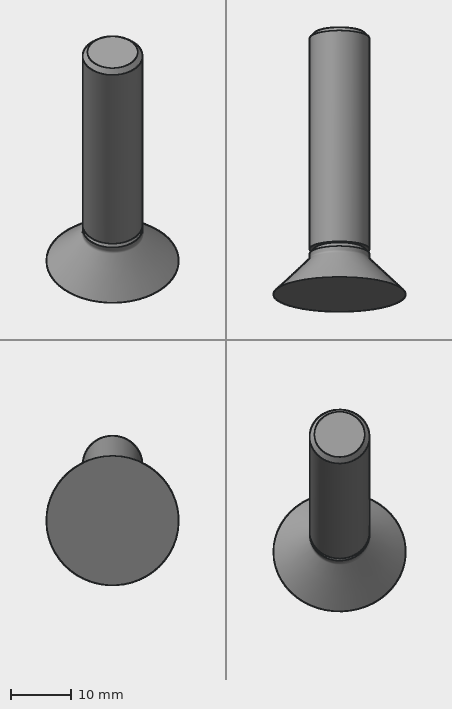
import cadquery as cq
import math

LENGTH = 45.0
HEAD_DIAMETER = 22.07
CONE_ANGLE = 90.0
SHANK_DIAMETER = 10.0
CORE_DIAMETER = 8.376
NECK_FILLET = 0.6
THREAD_START = 7.8

head_radius = HEAD_DIAMETER / 2
shank_radius = SHANK_DIAMETER / 2
core_radius = CORE_DIAMETER / 2
taper = shank_radius - core_radius

half_angle = math.radians(CONE_ANGLE / 2)
corner_height = (head_radius - shank_radius) / math.tan(half_angle)

tangent_length = NECK_FILLET * math.tan(half_angle / 2)
fillet_bottom = (
    shank_radius + tangent_length * math.sin(half_angle),
    corner_height - tangent_length * math.cos(half_angle),
)
fillet_top = (shank_radius, corner_height + tangent_length)
fillet_mid = (
    shank_radius + NECK_FILLET * (1 - math.cos(half_angle / 2)),
    fillet_top[1] - NECK_FILLET * math.sin(half_angle / 2),
)


def screw_profile():
    """Half section in the XZ plane, from the head face up to the tip."""
    return (
        cq.Workplane("XZ")
        .lineTo(head_radius, 0)
        .lineTo(*fillet_bottom)
        .threePointArc(fillet_mid, fillet_top)
        .lineTo(shank_radius, THREAD_START - taper)
        .lineTo(core_radius, THREAD_START)
        .lineTo(shank_radius, THREAD_START)
        .lineTo(shank_radius, LENGTH - taper)
        .lineTo(core_radius, LENGTH)
        .lineTo(0, LENGTH)
        .close()
    )


result = screw_profile().revolve(360, (0, 0, 0), (0, 1, 0))